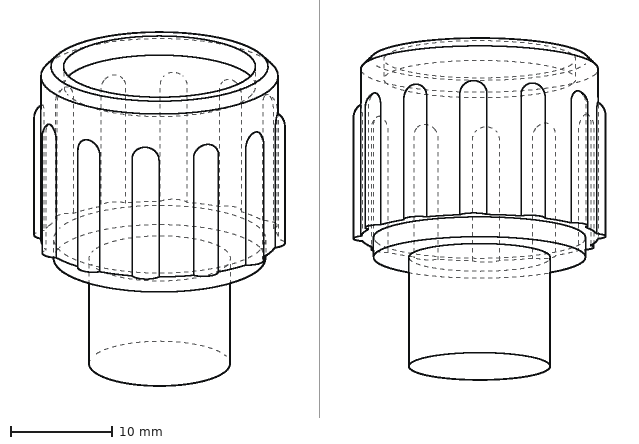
import cadquery as cq

stem_diameter = 14.0
stem_length = 11.0
collar_diameter = 21.0
collar_height = 2.0

head_diameter = 23.5
head_height = 18.0
rim_chamfer = 1.0
recess_diameter = 19.0
recess_depth = 2.0

rib_count = 12
rib_tip_diameter = 25.0
rib_diameter = 3.0
rib_straight_height = 12.2

head_bottom = stem_length + collar_height
total_height = head_bottom + head_height
rib_radius = rib_diameter / 2
rib_circle_radius = rib_tip_diameter / 2 - rib_radius


def cylinder(diameter, height, bottom):
    """Upright cylinder on the Z axis, starting at the given height."""
    return cq.Workplane("XY").workplane(offset=bottom).circle(diameter / 2).extrude(height)


def make_head():
    """Chamfered head with a shallow round recess in its top face."""
    head = cylinder(head_diameter, head_height, head_bottom)
    head = head.faces(">Z").edges().chamfer(rim_chamfer)
    return head.cut(cylinder(recess_diameter, recess_depth, total_height - recess_depth))


def make_rib():
    """One grip rib on the +X side: a cylinder topped by a half sphere."""
    bar = cylinder(rib_diameter, rib_straight_height, head_bottom)
    dome = cq.Workplane("XY").sphere(rib_radius).translate((0, 0, head_bottom + rib_straight_height))
    return bar.union(dome).translate((rib_circle_radius, 0, 0))


stem = cylinder(stem_diameter, stem_length, 0)
collar = cylinder(collar_diameter, collar_height, stem_length)
result = stem.union(collar).union(make_head())

rib = make_rib()
for index in range(rib_count):
    angle = index * 360 / rib_count
    result = result.union(rib.rotate((0, 0, 0), (0, 0, 1), angle))